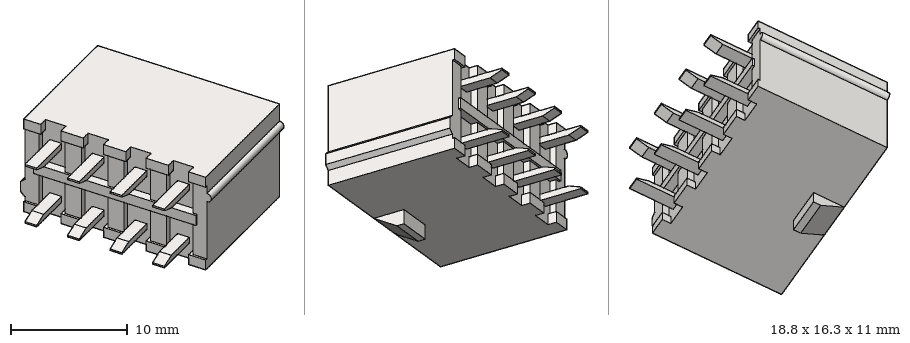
import cadquery as cq

BODY_WIDTH = 17.94
BODY_DEPTH = 12.82
BODY_HEIGHT = 9.63
HALF_WIDTH = BODY_WIDTH / 2

PIN_COLUMNS = 4
PIN_PITCH = 4.2
FACE_RECESS = 0.2
STANDOFF_HEIGHT = 1.03
CHANNEL_WIDTH = 2.6
CHANNEL_MOUTH = 2.0
CHANNEL_DEPTH = 0.85
RIB_LENGTH = 16.0
RIB_HEIGHT = 1.03

PIN_WIDTH = 1.17
PIN_THICKNESS = 0.6
PIN_REACH = 3.48
PIN_TIP_THICKNESS = 0.17
PIN_TIP_LENGTH = 1.2
UPPER_PIN_TOP = 7.69
LOWER_PIN_BOTTOM = 1.58

RIDGE_REACH = 0.43
LEFT_RIDGE_BASE = 1.8
LEFT_RIDGE_TIP = 1.03
LEFT_RIDGE_CENTRE = 2.33
RIGHT_RIDGE_CENTRE = 7.4

LATCH_WIDTH = 3.4
LATCH_LENGTH = 3.06
LATCH_HEIGHT = 1.37
LATCH_FLAT = 0.71

column_centres = [(i - (PIN_COLUMNS - 1) / 2) * PIN_PITCH for i in range(PIN_COLUMNS)]


def block(width, y_front, y_back, z_bottom, z_top, x_centre=0):
    """Box centred on x_centre between the given Y and Z limits."""
    size = (width, y_back - y_front, z_top - z_bottom)
    corner = (x_centre - width / 2, y_front, z_bottom)
    return cq.Workplane("XY").box(*size, centered=False).translate(corner)


def side_profile(points, width, x_centre=0):
    """Closed (Y, Z) outline extruded along X, centred on x_centre."""
    outline = cq.Workplane("YZ", origin=(x_centre, 0, 0)).polyline(points).close()
    return outline.extrude(width / 2, both=True)


def housing():
    """Block with pads left at the edges, pin channels and the middle rib."""
    pad_top = STANDOFF_HEIGHT
    pad_bottom = BODY_HEIGHT - STANDOFF_HEIGHT
    body = block(BODY_WIDTH, 0, BODY_DEPTH, 0, BODY_HEIGHT)
    body = body.cut(block(BODY_WIDTH, 0, FACE_RECESS, pad_top, pad_bottom))
    for x in column_centres:
        body = body.cut(block(CHANNEL_WIDTH, 0, CHANNEL_DEPTH, pad_top, pad_bottom, x))
        body = body.cut(block(CHANNEL_MOUTH, 0, CHANNEL_DEPTH, 0, BODY_HEIGHT, x))
    rib_bottom = (BODY_HEIGHT - RIB_HEIGHT) / 2
    return body.union(block(RIB_LENGTH, 0, CHANNEL_DEPTH, rib_bottom, rib_bottom + RIB_HEIGHT))


def pin(x, z_outer, inward):
    """Pin with a flat outer face; inward (+1 or -1) is the Z direction of its bevelled face."""
    z_inner = z_outer + inward * PIN_THICKNESS
    z_tip = z_outer + inward * PIN_TIP_THICKNESS
    outline = [
        (CHANNEL_DEPTH, z_outer),
        (-PIN_REACH, z_outer),
        (-PIN_REACH, z_tip),
        (PIN_TIP_LENGTH - PIN_REACH, z_inner),
        (CHANNEL_DEPTH, z_inner),
    ]
    return side_profile(outline, PIN_WIDTH, x)


def left_ridge():
    """Trapezoidal ridge on the -X side."""
    half_base = LEFT_RIDGE_BASE / 2
    half_tip = LEFT_RIDGE_TIP / 2
    x_tip = -HALF_WIDTH - RIDGE_REACH
    outline = [
        (-HALF_WIDTH, LEFT_RIDGE_CENTRE - half_base),
        (x_tip, LEFT_RIDGE_CENTRE - half_tip),
        (x_tip, LEFT_RIDGE_CENTRE + half_tip),
        (-HALF_WIDTH, LEFT_RIDGE_CENTRE + half_base),
    ]
    profile = cq.Workplane("XZ", origin=(0, FACE_RECESS, 0)).polyline(outline).close()
    return profile.extrude(FACE_RECESS - BODY_DEPTH)


def right_ridge():
    """Round ridge on the +X side, half buried in the wall."""
    centre = (HALF_WIDTH, FACE_RECESS, RIGHT_RIDGE_CENTRE)
    return cq.Workplane("XZ", origin=centre).circle(RIDGE_REACH).extrude(FACE_RECESS - BODY_DEPTH)


def latch():
    """Wedge below the housing, rising to nothing at the back edge."""
    y_front = BODY_DEPTH - LATCH_LENGTH
    outline = [
        (BODY_DEPTH, 0),
        (y_front, 0),
        (y_front, -LATCH_HEIGHT),
        (y_front + LATCH_FLAT, -LATCH_HEIGHT),
    ]
    return side_profile(outline, LATCH_WIDTH)


result = housing().union(left_ridge()).union(right_ridge()).union(latch())
for column_x in column_centres:
    result = result.union(pin(column_x, UPPER_PIN_TOP, -1))
    result = result.union(pin(column_x, LOWER_PIN_BOTTOM, 1))